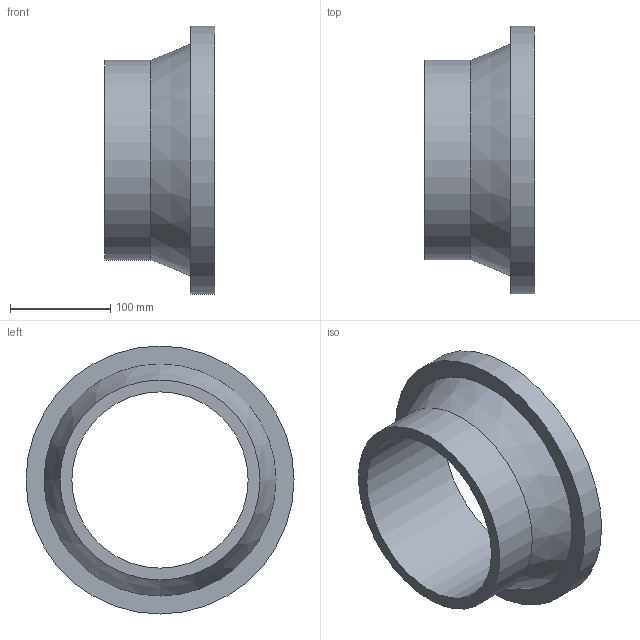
import cadquery as cq

bore_diameter = 176.2
neck_diameter = 200.0
cone_end_diameter = 232.0
flange_diameter = 268.0

total_length = 110.0
neck_length = 46.0
flange_thickness = 24.0

cone_start = neck_length
flange_start = total_length - flange_thickness


def revolved_body():
    """Neck, cone and flange with the through bore, revolved from half of the wall section."""
    wall_section = (
        cq.Workplane("XY")
        .moveTo(0, bore_diameter / 2)
        .lineTo(0, neck_diameter / 2)
        .lineTo(cone_start, neck_diameter / 2)
        .lineTo(flange_start, cone_end_diameter / 2)
        .lineTo(flange_start, flange_diameter / 2)
        .lineTo(total_length, flange_diameter / 2)
        .lineTo(total_length, bore_diameter / 2)
        .close()
    )
    return wall_section.revolve(360, (0, 0, 0), (1, 0, 0))


result = revolved_body()